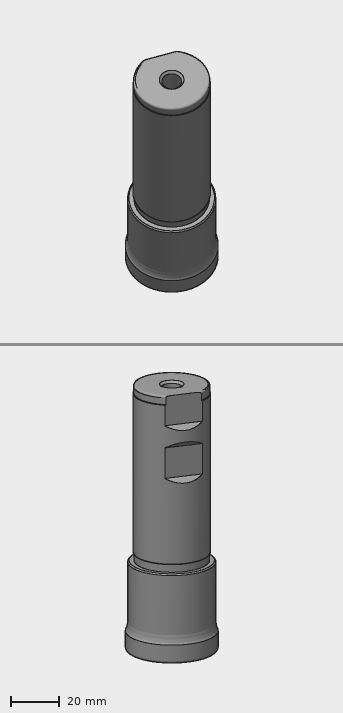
import cadquery as cq
import math

total_height = 114.3

flange_radius = 38.1 / 2
flange_bottom_fillet = 1.0
flange_edge_z = 8.0
flange_shoulder_z = 8.8
flange_shoulder_radius = 18.6
neck_radius = 18.3
neck_bottom_z = 10.2
neck_top_radius = 18.2
neck_top_z = 11.2

collar_radius = 36.1 / 2
collar_bottom_z = 11.9
collar_top_z = 38.3
collar_chamfer = 0.6

groove_radius = 31.0 / 2
shank_radius = 31.8 / 2
shank_bottom_z = 41.6
shank_chamfer = 0.3

pilot_radius = 31.3 / 2
pilot_bottom_z = 110.6
pilot_fillet = 0.8

flat_x = -13.6
top_flat_bottom_z = 101.6
lower_flat_top_z = 92.0
lower_flat_bottom_z = 78.9

hole_radius = 8.0 / 2
hole_mouth_radius = 10.1 / 2
hole_depth = 17.1
drill_tip_angle = 118.0


def turned_body():
    """Revolve the stepped half profile about Z."""
    outline = (
        cq.Workplane("XZ")
        .lineTo(flange_radius - flange_bottom_fillet, 0)
        .radiusArc((flange_radius, flange_bottom_fillet), -flange_bottom_fillet)
        .lineTo(flange_radius, flange_edge_z)
        .lineTo(flange_shoulder_radius, flange_shoulder_z)
        .lineTo(neck_radius, neck_bottom_z)
        .lineTo(neck_top_radius, neck_top_z)
        .lineTo(collar_radius, collar_bottom_z)
        .lineTo(collar_radius, collar_top_z - collar_chamfer)
        .lineTo(collar_radius - collar_chamfer, collar_top_z)
        .lineTo(groove_radius, collar_top_z)
        .lineTo(groove_radius, shank_bottom_z)
        .lineTo(shank_radius - shank_chamfer, shank_bottom_z)
        .lineTo(shank_radius, shank_bottom_z + shank_chamfer)
        .lineTo(shank_radius, pilot_bottom_z - (shank_radius - pilot_radius))
        .lineTo(pilot_radius, pilot_bottom_z)
        .lineTo(pilot_radius, total_height - pilot_fillet)
        .radiusArc((pilot_radius - pilot_fillet, total_height), -pilot_fillet)
        .lineTo(0, total_height)
        .close()
    )
    return outline.revolve(360, (0, 0, 0), (0, 1, 0))


def flat_cutter(bottom_z, top_z):
    """Prism that cuts one flat and widens outward at 45 degrees at both ends."""
    ramp = shank_radius + flat_x
    outer_x = flat_x - ramp
    outline = [
        (flat_x, bottom_z),
        (flat_x, top_z),
        (outer_x, top_z + ramp),
        (outer_x, bottom_z - ramp),
    ]
    return cq.Workplane("XZ").polyline(outline).close().extrude(shank_radius, both=True)


def blind_hole():
    """Countersunk drilled hole with a conical tip."""
    mouth_depth = hole_mouth_radius - hole_radius
    tip_length = hole_radius / math.tan(math.radians(drill_tip_angle / 2))
    shoulder_z = total_height - hole_depth
    profile = [
        (0, total_height),
        (hole_mouth_radius, total_height),
        (hole_radius, total_height - mouth_depth),
        (hole_radius, shoulder_z),
        (0, shoulder_z - tip_length),
    ]
    return cq.Workplane("XZ").polyline(profile).close().revolve(360, (0, 0, 0), (0, 1, 0))


result = (
    turned_body()
    .cut(flat_cutter(top_flat_bottom_z, total_height))
    .cut(flat_cutter(lower_flat_bottom_z, lower_flat_top_z))
    .cut(blind_hole())
)